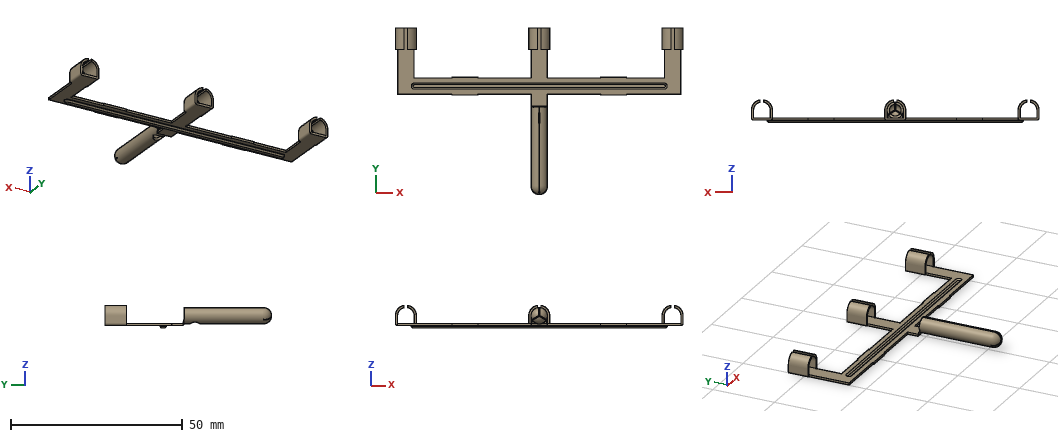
import cadquery as cq
import math

sheet = 0.7
strip_width = 4.8
half_strip = strip_width / 2

overall_x = 83.97
overall_y = 48.68
overall_z = 6.7

ridge_height = 0.75
ridge_step = 0.2
groove_depth = 0.4
bead_length = 74.7
groove_top_width = 1.8
groove_floor_width = 0.8
ridge_top_width = 1.9
ridge_floor_width = 1.1

sheet_bottom = ridge_height
sheet_top = sheet_bottom + sheet

clip_inner_radius = half_strip
clip_outer_radius = clip_inner_radius + sheet
clip_gap = 1.0
clip_length = 6.35
clip_bend_radius = sheet
clip_pitch = overall_x / 2 - clip_outer_radius
clip_positions = (-clip_pitch, 0, clip_pitch)
clip_back = 17.0
clip_front = clip_back - clip_length

axis_z = overall_z - math.sqrt(clip_outer_radius**2 - (clip_gap / 2) ** 2)

tab_length = 7.6
tab_offset = 21.7
tab_overhang = 0.25

handle_radius = half_strip
handle_bore = handle_radius - sheet
handle_start = -6.15
handle_tip = clip_back - overall_y
dome_center = handle_tip + handle_radius
slit_width = 0.2
petal_count = 3
drain_diameter = 3.0
drain_y = -9.3

ramp_start = -5.75
ramp_half_angle = 60


def sheet_rectangle(x_center, y_low, y_high, width):
    """Flat piece of sheet lying at the common sheet level."""
    length = y_high - y_low
    return cq.Workplane("XY").box(width, length, sheet, centered=(True, False, False)).translate(
        (x_center, y_low, sheet_bottom)
    )


def make_frame():
    """Crossbar, its widened tabs, the three arms and the neck of the handle."""
    bar_length = 2 * clip_pitch + strip_width
    frame = sheet_rectangle(0, -half_strip, half_strip, bar_length)
    tab_edge = half_strip + tab_overhang
    for side in (-1, 1):
        frame = frame.union(sheet_rectangle(side * tab_offset, -tab_edge, tab_edge, tab_length))
    for arm_x in clip_positions:
        frame = frame.union(sheet_rectangle(arm_x, -half_strip, clip_front, strip_width))
    return frame.union(sheet_rectangle(0, ramp_start, 0, strip_width))


def make_clip(x_center):
    """U-shaped clip with curled lips, open along its top."""
    profile = (
        cq.Workplane("XZ", origin=(x_center, clip_back, 0))
        .moveTo(-clip_outer_radius, sheet_bottom)
        .lineTo(-clip_outer_radius, axis_z)
        .threePointArc((0, axis_z + clip_outer_radius), (clip_outer_radius, axis_z))
        .lineTo(clip_outer_radius, sheet_bottom)
        .close()
    )
    clip = profile.extrude(clip_length).edges("|Y and <Z").fillet(clip_bend_radius)
    cavity = (
        cq.Workplane("XZ", origin=(x_center, clip_back, 0))
        .moveTo(-clip_inner_radius, sheet_top)
        .lineTo(-clip_inner_radius, axis_z)
        .threePointArc((0, axis_z + clip_inner_radius), (clip_inner_radius, axis_z))
        .lineTo(clip_inner_radius, sheet_top)
        .close()
        .extrude(clip_length)
    )
    opening = cq.Workplane("XY").box(
        clip_gap, clip_length, clip_outer_radius, centered=(True, False, False)
    )
    return clip.cut(cavity).cut(opening.translate((x_center, clip_front, axis_z)))


def tapered_bead(top_z, depth, top_width, floor_width):
    """Bar of trapezoidal section with conical ends, narrowing downward over its depth."""
    half_top = top_width / 2
    half_floor = floor_width / 2
    floor_z = top_z - depth
    straight_length = bead_length - ridge_top_width
    bead = (
        cq.Workplane("YZ")
        .moveTo(-half_top, top_z)
        .lineTo(half_top, top_z)
        .lineTo(half_floor, floor_z)
        .lineTo(-half_floor, floor_z)
        .close()
        .extrude(straight_length / 2, both=True)
    )
    cone = cq.Workplane("XY").add(
        cq.Solid.makeCone(half_floor, half_top, depth, cq.Vector(0, 0, floor_z))
    )
    for side in (-1, 1):
        bead = bead.union(cone.translate((side * straight_length / 2, 0, 0)))
    return bead


def domed_rod(radius):
    """Solid rod along the handle axis that ends in a hemisphere."""
    rod = cq.Workplane("XZ", origin=(0, handle_start, axis_z)).circle(radius)
    dome = cq.Workplane("XY").sphere(radius).translate((0, dome_center, axis_z))
    return rod.extrude(handle_start - dome_center).union(dome)


def make_handle():
    """Rolled tube with a seam on top, a three-petal dome and a hole underneath."""
    handle = domed_rod(handle_radius).cut(domed_rod(handle_bore))
    for petal in range(petal_count):
        slit_end = handle_start if petal == 0 else dome_center
        slit = (
            cq.Workplane("XY")
            .box(slit_width, slit_end - handle_tip, handle_radius, centered=(True, False, False))
            .rotate((0, 0, 0), (0, 1, 0), petal * 360 / petal_count)
            .translate((0, handle_tip, axis_z))
        )
        handle = handle.cut(slit)
    drain = cq.Workplane("XY", origin=(0, drain_y, 0)).circle(drain_diameter / 2).extrude(axis_z)
    return handle.cut(drain)


def tube_point(radius, angle):
    """Point (x, z) around the handle axis, with the angle in degrees from straight down."""
    turn = math.radians(angle)
    return (radius * math.sin(turn), axis_z - radius * math.cos(turn))


def make_ramp():
    """Transition that curls the flat neck up into the lower wall of the tube."""
    half_arc = ramp_half_angle / 2
    half_ramp = (
        cq.Workplane("XZ", origin=(0, ramp_start, 0))
        .moveTo(0, sheet_bottom)
        .lineTo(half_strip, sheet_bottom)
        .lineTo(half_strip, sheet_top)
        .lineTo(0, sheet_top)
        .close()
        .workplane(offset=ramp_start - handle_start)
        .moveTo(*tube_point(handle_radius, 0))
        .threePointArc(tube_point(handle_radius, half_arc), tube_point(handle_radius, ramp_half_angle))
        .lineTo(*tube_point(handle_bore, ramp_half_angle))
        .threePointArc(tube_point(handle_bore, half_arc), tube_point(handle_bore, 0))
        .close()
        .loft(ruled=True)
    )
    return half_ramp.union(half_ramp.mirror("YZ"))


def add_stiffening_bead(frame):
    """Groove along the crossbar with a stepped, tapered ridge beneath it."""
    step_bottom = sheet_bottom - ridge_step
    step = (
        cq.Workplane("XY", origin=(0, 0, step_bottom))
        .slot2D(bead_length, ridge_top_width)
        .extrude(ridge_step)
    )
    ridge = tapered_bead(step_bottom, step_bottom, ridge_top_width, ridge_floor_width)
    groove = tapered_bead(sheet_top, groove_depth, groove_top_width, groove_floor_width)
    return frame.union(step).union(ridge).cut(groove)


result = add_stiffening_bead(make_frame())
for clip_x in clip_positions:
    result = result.union(make_clip(clip_x))
result = result.union(make_ramp()).union(make_handle())